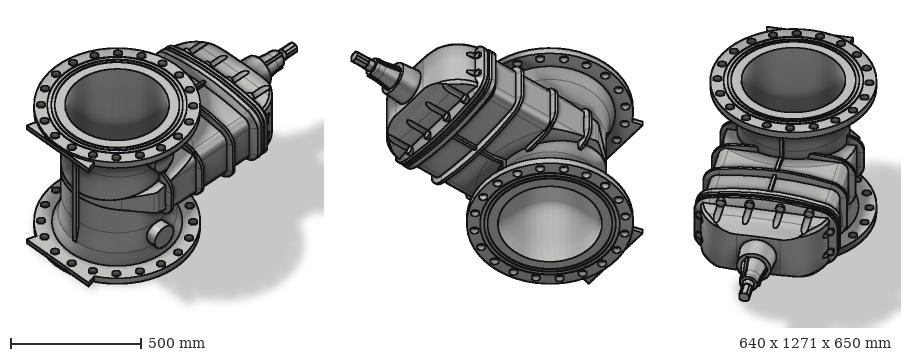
import cadquery as cq
import math


FACE_TO_FACE = 650.0
BORE_RADIUS = 200.0
BARREL_RADIUS = 216.5
FLARE_START_Z = 148.0
CONE_START_Z = 243.0
CONE_START_RADIUS = 229.0
CONE_END_RADIUS = 251.0
FLANGE_RADIUS = 320.0
FLANGE_THICKNESS = 30.0
RAISED_FACE_HEIGHT = 3.0
RAISED_FACE_RADIUS = 269.0
GROOVE_OUTER_RADIUS = 253.5
GROOVE_INNER_RADIUS = 240.0
BOLT_COUNT = 20
BOLT_CIRCLE_RADIUS = 292.5
BOLT_HOLE_DIAMETER = 33.0
END_Z = FACE_TO_FACE / 2
FLANGE_TOP_Z = END_Z - RAISED_FACE_HEIGHT
FLANGE_BACK_Z = FLANGE_TOP_Z - FLANGE_THICKNESS

FOOT_BOTTOM_HALF = 170.5
FOOT_TOP_HALF = 158.0
FOOT_TOP_Y = -275.0
FOOT_THICKNESS = 19.0

FRONT_RIB_WIDTH = 20.0
FRONT_RIB_Y = -230.0
FRONT_RIB_HALF_HEIGHT = 247.0
BACK_RIB_WIDTH = 12.0
BACK_RIB_HEIGHT = 16.5
BOSS_RADIUS = 50.0
BOSS_Z = 200.0
BOSS_END_X = 259.0

QUARTER_ROUND = math.sqrt(0.5)
SHALLOW_ROUND = 0.64
BODY_SECTION = (255.0, 67.0, 39.0, 125.0, QUARTER_ROUND)
BODY_FLANGE_SECTION = (282.0, 71.0, 58.0, 156.0, SHALLOW_ROUND)
BODY_TOP_Y = 462.0
WEDGE_HALF_HEIGHT_AT_AXIS = 61.0
WEDGE_SLOPE = 0.227
SHOULDER_TANGENT_X = 165.6
SHOULDER_FILLET = 30.0
SHELL_STEP = 1.0
SHELL_RADIUS = BARREL_RADIUS + SHELL_STEP
CENTRE_RIB_HALF_HEIGHT = 139.5
CENTRE_RIB_BEND_Y = 273.0
RIB_TIP_HALF = 5.5
RIB_BASE_HALF = 10.5
MIDDLE_RIB_SECTION = (282.0, 52.0, 66.0, 131.0, SHALLOW_ROUND)
MIDDLE_RIB_BASE = (255.0, 52.0, 39.0, 101.0, QUARTER_ROUND)
LOWER_RIB_SECTION = (282.0, 36.0, 66.0, 105.0, QUARTER_ROUND)
LOWER_RIB_BASE = (255.0, 36.0, 30.0, 70.0, QUARTER_ROUND)
RING_RIBS = [
    (351.0, BODY_FLANGE_SECTION, BODY_SECTION),
    (185.0, MIDDLE_RIB_SECTION, MIDDLE_RIB_BASE),
    (21.0, LOWER_RIB_SECTION, LOWER_RIB_BASE),
]

BODY_FLANGE_EDGE_Y = 480.0
BODY_FLANGE_CHAMFER_Y = 501.0
PARTING_Y = 507.0
BONNET_LIP_Y = 519.0
BONNET_EDGE_Y = 534.0
BONNET_SLOPE_TOP_Y = 556.0
LIP_SECTION = (275.0, 71.0, 54.0, 150.0, SHALLOW_ROUND)
BONNET_FLANGE_SECTION = (280.0, 71.0, 57.0, 153.0, SHALLOW_ROUND)
DOME_BASE_SECTION = (250.0, 67.0, 34.0, 119.0, QUARTER_ROUND)

DOME_TOP_Y = 683.0
DOME_HALF_WIDTH = 255.0
DOME_CORNER_RADIUS = 170.0
DOME_HALF_HEIGHT = 120.0
DOME_SIDE_HALF_HEIGHT = 97.0
DOME_EDGE_TAPER = 36.0
DOME_CROWN_DROP = 12.0
DOME_TOP_HALF_HEIGHT = 88.0
DOME_ROUND_START_Y = 610.0

BOLT_PAD_RADIUS = 18.3
BOLT_PAD_TOP_Y = 551.0
BOLT_CLEARANCE_RADIUS = 14.5
FACE_CLEARANCE_TOP_Y = 652.0
END_CLEARANCE_TOP_Y = 592.0
BOLT_QUARTER = [
    (60.0, 126.5, FACE_CLEARANCE_TOP_Y),
    (173.0, 119.5, FACE_CLEARANCE_TOP_Y),
    (252.0, 49.0, END_CLEARANCE_TOP_Y),
]

NECK_BASE_RADIUS = 72.5
NECK_TOP_RADIUS = 66.5
NECK_TOP_Y = 763.0
GLAND_PROFILE = [(49.0, NECK_TOP_Y), (38.0, 827.0), (37.0, 854.0), (34.0, 866.0)]
GLAND_TOP_Y = GLAND_PROFILE[-1][1]
GLAND_RIB_WIDTH = 11.0
GLAND_RIB_BASE_RADIUS = 54.0
GLAND_RIB_TOP_RADIUS = 43.0
GLAND_RIB_BEND_Y = 831.0
GLAND_RIB_COUNT = 3
COLLAR_RADIUS = 22.0
COLLAR_TOP_Y = 893.0
STEM_TOP_Y = 951.0
STEM_WIDTH = 38.0
STEM_CHAMFER = 9.0


def plane_at(y):
    """Plane across the stem axis whose local axes are X and Z, facing +Y."""
    return cq.Workplane(cq.Plane(origin=(0, y, 0), xDir=(1, 0, 0), normal=(0, 1, 0)))


def draw_section(work, section):
    """Closed outline with flat ends, round corners and crowned long sides."""
    half_width, half_flat, corner, crown, bulge_share = section
    corner_x = half_width - corner
    corner_z = half_flat + corner
    bulge = corner * bulge_share
    mid_x = corner_x + bulge
    mid_z = half_flat + bulge
    return (
        work.moveTo(half_width, -half_flat)
        .lineTo(half_width, half_flat)
        .threePointArc((mid_x, mid_z), (corner_x, corner_z))
        .threePointArc((0, crown), (-corner_x, corner_z))
        .threePointArc((-mid_x, mid_z), (-half_width, half_flat))
        .lineTo(-half_width, -half_flat)
        .threePointArc((-mid_x, -mid_z), (-corner_x, -corner_z))
        .threePointArc((0, -crown), (corner_x, -corner_z))
        .threePointArc((mid_x, -mid_z), (half_width, -half_flat))
        .close()
    )


def prism(section, y_low, y_high):
    return draw_section(plane_at(y_low), section).extrude(y_high - y_low)


def taper(low_section, y_low, high_section, y_high):
    """Straight-sided transition between two sections."""
    work = draw_section(plane_at(y_low), low_section).workplane(offset=y_high - y_low)
    return draw_section(work, high_section).loft(ruled=True)


def cylinder_along_y(x, z, radius, y_low, y_high):
    return plane_at(y_low).center(x, -z).circle(radius).extrude(y_high - y_low)


def both_ends(upper):
    """The given shape together with its mirror image in the XY plane."""
    return upper.union(upper.mirror("XY"))


def make_barrel():
    half = (
        cq.Workplane("XZ")
        .moveTo(0, 0)
        .lineTo(BARREL_RADIUS, 0)
        .lineTo(BARREL_RADIUS, FLARE_START_Z)
        .tangentArcPoint((CONE_START_RADIUS, CONE_START_Z), relative=False)
        .lineTo(CONE_END_RADIUS, FLANGE_BACK_Z)
        .lineTo(FLANGE_RADIUS, FLANGE_BACK_Z)
        .lineTo(FLANGE_RADIUS, FLANGE_TOP_Z)
        .lineTo(RAISED_FACE_RADIUS, FLANGE_TOP_Z)
        .lineTo(RAISED_FACE_RADIUS, END_Z)
        .lineTo(GROOVE_OUTER_RADIUS, END_Z)
        .lineTo(GROOVE_OUTER_RADIUS, FLANGE_TOP_Z)
        .lineTo(GROOVE_INNER_RADIUS, FLANGE_TOP_Z)
        .lineTo(GROOVE_INNER_RADIUS, END_Z)
        .lineTo(0, END_Z)
        .close()
        .revolve(360, (0, 0, 0), (0, 1, 0))
    )
    return both_ends(half)


def make_feet():
    foot = (
        cq.Workplane("XY", origin=(0, 0, FLANGE_BACK_Z))
        .polyline([
            (-FOOT_BOTTOM_HALF, -FLANGE_RADIUS),
            (FOOT_BOTTOM_HALF, -FLANGE_RADIUS),
            (FOOT_TOP_HALF, FOOT_TOP_Y),
            (-FOOT_TOP_HALF, FOOT_TOP_Y),
        ])
        .close()
        .extrude(FOOT_THICKNESS)
    )
    return both_ends(foot)


def make_side_bosses():
    boss = cq.Workplane("YZ").center(0, BOSS_Z).circle(BOSS_RADIUS).extrude(BOSS_END_X)
    return both_ends(boss)


def make_front_rib():
    depth = -FRONT_RIB_Y - BORE_RADIUS
    return cq.Workplane("XY").box(
        FRONT_RIB_WIDTH, depth, 2 * FRONT_RIB_HALF_HEIGHT
    ).translate((0, FRONT_RIB_Y + depth / 2, 0))


def make_back_rib():
    """Flat rib on the YZ plane along the housing and up the flared barrel."""
    root_y = BORE_RADIUS
    rib_y = BARREL_RADIUS + BACK_RIB_HEIGHT
    bend_drop = WEDGE_SLOPE * (CENTRE_RIB_BEND_Y - rib_y)
    half = (
        cq.Workplane("YZ")
        .moveTo(root_y, 0)
        .lineTo(BODY_FLANGE_EDGE_Y, 0)
        .lineTo(BODY_FLANGE_EDGE_Y, CENTRE_RIB_HALF_HEIGHT)
        .lineTo(CENTRE_RIB_BEND_Y, CENTRE_RIB_HALF_HEIGHT)
        .lineTo(rib_y, CENTRE_RIB_HALF_HEIGHT - bend_drop)
        .lineTo(rib_y, FLARE_START_Z)
        .tangentArcPoint((CONE_START_RADIUS + BACK_RIB_HEIGHT, CONE_START_Z), relative=False)
        .lineTo(CONE_END_RADIUS + BACK_RIB_HEIGHT, FLANGE_BACK_Z)
        .lineTo(root_y, FLANGE_BACK_Z)
        .close()
        .extrude(BACK_RIB_WIDTH / 2, both=True)
    )
    return both_ends(half)


def make_housing():
    """Housing that narrows to a wedge around the barrel."""
    half_width, _, _, crown, _ = BODY_SECTION
    tangent_y = -math.sqrt(SHELL_RADIUS**2 - SHOULDER_TANGENT_X**2)
    shoulder_y = (SHELL_RADIUS**2 - half_width * SHOULDER_TANGENT_X) / tangent_y
    plan = (
        cq.Workplane("XY")
        .moveTo(half_width, BODY_TOP_Y)
        .lineTo(half_width, shoulder_y)
        .lineTo(SHOULDER_TANGENT_X, tangent_y)
        .threePointArc((0, -SHELL_RADIUS), (-SHOULDER_TANGENT_X, tangent_y))
        .lineTo(-half_width, shoulder_y)
        .lineTo(-half_width, BODY_TOP_Y)
        .close()
        .extrude(crown, both=True)
        .edges("|Z and (<X or >X)")
        .edges("<Y")
        .fillet(SHOULDER_FILLET)
    )
    front_z = WEDGE_HALF_HEIGHT_AT_AXIS - WEDGE_SLOPE * SHELL_RADIUS
    full_y = (crown - WEDGE_HALF_HEIGHT_AT_AXIS) / WEDGE_SLOPE
    wedge = (
        cq.Workplane("YZ")
        .polyline([
            (-SHELL_RADIUS, -front_z),
            (full_y, -crown),
            (BODY_TOP_Y, -crown),
            (BODY_TOP_Y, crown),
            (full_y, crown),
            (-SHELL_RADIUS, front_z),
        ])
        .close()
        .extrude(half_width, both=True)
    )
    section = prism(BODY_SECTION, -SHELL_RADIUS, BODY_TOP_Y)
    return section.intersect(wedge).intersect(plan)


def make_ring_rib(y, outer, base):
    rib = prism(outer, y - RIB_TIP_HALF, y + RIB_TIP_HALF)
    rib = rib.union(taper(base, y - RIB_BASE_HALF, outer, y - RIB_TIP_HALF))
    return rib.union(taper(outer, y + RIB_TIP_HALF, base, y + RIB_BASE_HALF))


def make_flanged_joint():
    joint = taper(BODY_SECTION, BODY_TOP_Y, BODY_FLANGE_SECTION, BODY_FLANGE_EDGE_Y)
    joint = joint.union(prism(BODY_FLANGE_SECTION, BODY_FLANGE_EDGE_Y, BODY_FLANGE_CHAMFER_Y))
    joint = joint.union(taper(BODY_FLANGE_SECTION, BODY_FLANGE_CHAMFER_Y, LIP_SECTION, PARTING_Y))
    joint = joint.union(prism(LIP_SECTION, PARTING_Y, BONNET_LIP_Y))
    joint = joint.union(prism(BONNET_FLANGE_SECTION, BONNET_LIP_Y, BONNET_EDGE_Y))
    return joint.union(
        taper(BONNET_FLANGE_SECTION, BONNET_EDGE_Y, DOME_BASE_SECTION, BONNET_SLOPE_TOP_Y)
    )


def dome_plan():
    """Outline of the dome along X and Y, from the flange up to its round shoulders."""
    arc_x = DOME_HALF_WIDTH - DOME_CORNER_RADIUS
    arc_y = DOME_TOP_Y - DOME_CORNER_RADIUS
    bulge = DOME_CORNER_RADIUS * QUARTER_ROUND
    return (
        cq.Workplane("XY", origin=(0, 0, DOME_SIDE_HALF_HEIGHT))
        .moveTo(-DOME_HALF_WIDTH, BODY_FLANGE_CHAMFER_Y)
        .lineTo(DOME_HALF_WIDTH, BODY_FLANGE_CHAMFER_Y)
        .lineTo(DOME_HALF_WIDTH, arc_y)
        .threePointArc((arc_x + bulge, arc_y + bulge), (arc_x, DOME_TOP_Y))
        .lineTo(-arc_x, DOME_TOP_Y)
        .threePointArc((-arc_x - bulge, arc_y + bulge), (-DOME_HALF_WIDTH, arc_y))
        .close()
    )


def dome_envelope():
    """Upper half of the crowned dome: its side profile swept along a shallow crown arc."""
    crown_radius = (DOME_HALF_WIDTH**2 + DOME_CROWN_DROP**2) / (2 * DOME_CROWN_DROP)
    axis_z = DOME_HALF_HEIGHT - crown_radius
    swing = math.degrees(math.asin(DOME_HALF_WIDTH / -axis_z))
    profile = (
        cq.Workplane("YZ")
        .moveTo(BODY_FLANGE_CHAMFER_Y, 0)
        .lineTo(BODY_FLANGE_CHAMFER_Y, DOME_HALF_HEIGHT)
        .lineTo(DOME_ROUND_START_Y, DOME_HALF_HEIGHT)
        .tangentArcPoint((DOME_TOP_Y, DOME_TOP_HALF_HEIGHT), relative=False)
        .lineTo(DOME_TOP_Y, 0)
        .close()
        .revolve(2 * swing, (0, axis_z, 0), (1, axis_z, 0))
    )
    return profile.rotate((0, 0, axis_z), (0, 1, axis_z), -swing)


def make_dome():
    core = dome_plan().extrude(-2 * DOME_SIDE_HALF_HEIGHT)
    edge = dome_plan().extrude(DOME_HALF_HEIGHT - DOME_SIDE_HALF_HEIGHT, taper=DOME_EDGE_TAPER)
    return core.union(both_ends(edge)).intersect(both_ends(dome_envelope()))


def bolt_places():
    """Bolt axes of the whole bonnet, mirrored from one quarter."""
    return [
        (side_x * x, side_z * z, top_y)
        for x, z, top_y in BOLT_QUARTER
        for side_x in (-1, 1)
        for side_z in (-1, 1)
    ]


def make_bonnet():
    bonnet = make_dome().union(make_flanged_joint())
    for x, z, top_y in bolt_places():
        pad = cylinder_along_y(x, z, BOLT_PAD_RADIUS, BONNET_EDGE_Y, BOLT_PAD_TOP_Y)
        clearance = cylinder_along_y(x, z, BOLT_CLEARANCE_RADIUS, BOLT_PAD_TOP_Y, top_y)
        bonnet = bonnet.union(pad).cut(clearance)
    return bonnet


def make_gland_rib(angle):
    rib = (
        cq.Workplane("XY")
        .polyline([
            (0, NECK_TOP_Y),
            (GLAND_RIB_BASE_RADIUS, NECK_TOP_Y),
            (GLAND_RIB_TOP_RADIUS, GLAND_RIB_BEND_Y),
            (GLAND_RIB_TOP_RADIUS, GLAND_TOP_Y),
            (0, GLAND_TOP_Y),
        ])
        .close()
        .extrude(GLAND_RIB_WIDTH / 2, both=True)
    )
    return rib.rotate((0, 0, 0), (0, 1, 0), angle)


def make_neck_and_stem():
    turned = (
        cq.Workplane("XY")
        .polyline(
            [(0, BONNET_SLOPE_TOP_Y), (NECK_BASE_RADIUS, BONNET_SLOPE_TOP_Y)]
            + [(NECK_BASE_RADIUS, DOME_TOP_Y), (NECK_TOP_RADIUS, NECK_TOP_Y)]
            + GLAND_PROFILE
            + [(COLLAR_RADIUS, GLAND_TOP_Y), (COLLAR_RADIUS, COLLAR_TOP_Y), (0, COLLAR_TOP_Y)]
        )
        .close()
        .revolve(360, (0, 0, 0), (0, 1, 0))
    )
    for index in range(GLAND_RIB_COUNT):
        turned = turned.union(make_gland_rib(180 + index * 360 / GLAND_RIB_COUNT))
    stem = (
        plane_at(COLLAR_TOP_Y)
        .rect(STEM_WIDTH, STEM_WIDTH)
        .extrude(STEM_TOP_Y - COLLAR_TOP_Y)
        .edges("|Y")
        .chamfer(STEM_CHAMFER)
    )
    return turned.union(stem)


def make_flange_holes():
    """Bolt holes of the lower flange, spaced evenly and straddling the X and Y axes."""
    first_angle = 180 / BOLT_COUNT
    return (
        cq.Workplane("XY", origin=(0, 0, -END_Z))
        .polarArray(BOLT_CIRCLE_RADIUS, first_angle, 360, BOLT_COUNT)
        .circle(BOLT_HOLE_DIAMETER / 2)
        .extrude(FLANGE_THICKNESS + RAISED_FACE_HEIGHT)
    )


body = make_barrel().union(make_feet()).union(make_side_bosses())
body = body.union(make_front_rib()).union(make_housing()).union(make_back_rib())
for ring_y, ring_outer, ring_base in RING_RIBS:
    body = body.union(make_ring_rib(ring_y, ring_outer, ring_base))
body = body.union(make_bonnet()).union(make_neck_and_stem())
body = body.cut(both_ends(make_flange_holes()))
bore = cq.Workplane("XY").circle(BORE_RADIUS).extrude(END_Z, both=True)
result = body.cut(bore)